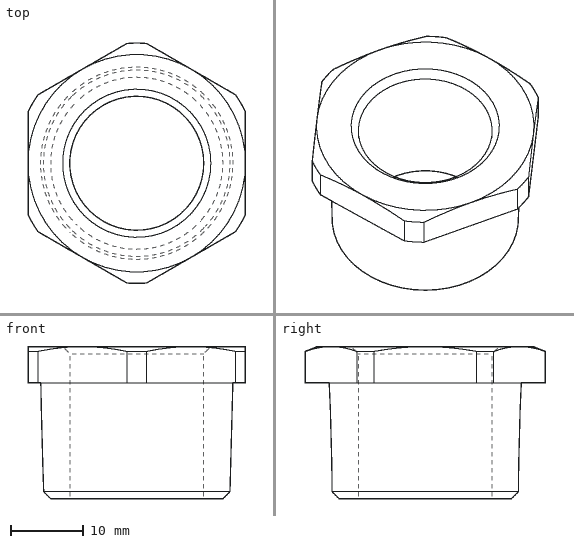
import cadquery as cq
import math

across_flats = 30.0
corner_diameter = 33.2
head_height = 5.0
crown_drop = 0.65

total_height = 21.0
shank_top_diameter = 26.55
shank_end_diameter = 25.75
end_chamfer = 1.0

bore_diameter = 18.45
bore_chamfer = 1.0

head_bottom = total_height - head_height


def make_head():
    """Hexagon with flats facing X, its corners rounded and its top crowned."""
    across_corners = across_flats / math.cos(math.radians(30))
    hexagon = (
        cq.Workplane("XY")
        .workplane(offset=head_bottom)
        .polygon(6, across_corners)
        .extrude(head_height)
        .rotate((0, 0, 0), (0, 0, 1), 30)
    )
    envelope = (
        cq.Workplane("XZ")
        .moveTo(0, head_bottom)
        .lineTo(corner_diameter / 2, head_bottom)
        .lineTo(corner_diameter / 2, total_height - crown_drop)
        .lineTo(across_flats / 2, total_height)
        .lineTo(0, total_height)
        .close()
        .revolve(360, (0, 0), (0, 1))
    )
    return hexagon.intersect(envelope)


def make_shank():
    """Tapered plug with a chamfered lower end."""
    end_radius = shank_end_diameter / 2
    return (
        cq.Workplane("XZ")
        .lineTo(end_radius - end_chamfer, 0)
        .lineTo(end_radius, end_chamfer)
        .lineTo(shank_top_diameter / 2, head_bottom)
        .lineTo(0, head_bottom)
        .close()
        .revolve(360, (0, 0), (0, 1))
    )


def make_bore():
    """Through bore with a chamfered mouth at the top."""
    bore_radius = bore_diameter / 2
    return (
        cq.Workplane("XZ")
        .lineTo(bore_radius, 0)
        .lineTo(bore_radius, total_height - bore_chamfer)
        .lineTo(bore_radius + bore_chamfer, total_height)
        .lineTo(0, total_height)
        .close()
        .revolve(360, (0, 0), (0, 1))
    )


result = make_head().union(make_shank()).cut(make_bore())